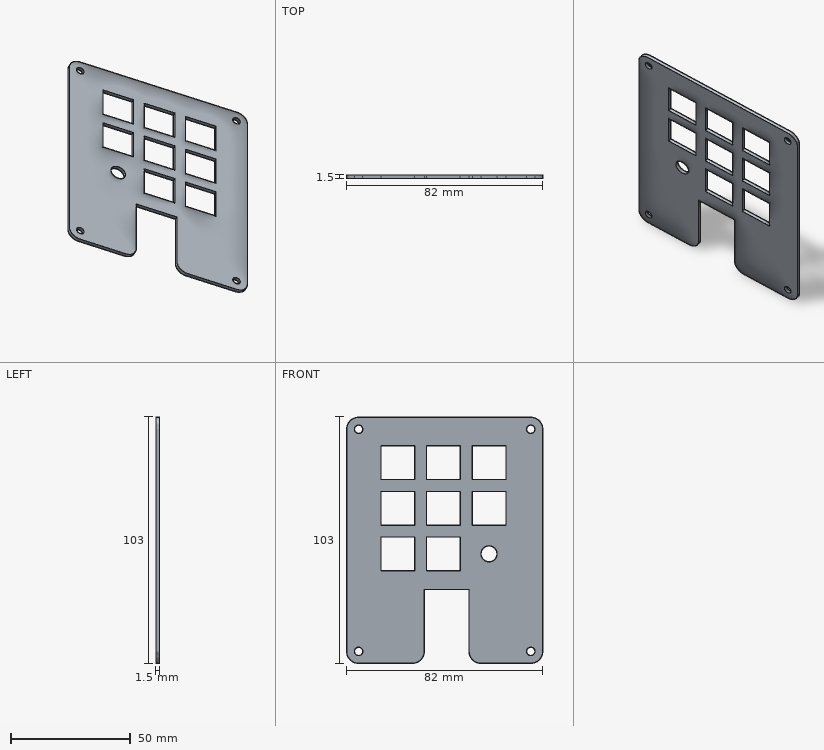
import cadquery as cq

width = 82.0
height = 103.0
thickness = 1.5
corner_radius = 5.0

screw_hole_diameter = 3.4
screw_spacing_x = width - 2 * corner_radius
screw_spacing_z = height - 2 * corner_radius

key_size = 14.0
key_pitch = 19.0
grid_center_x = -0.5
grid_center_z = 13.4
round_opening_diameter = 6.6
round_opening_place = (1, -1)

notch_width = 18.6
notch_center_x = 0.8
notch_depth = 30.9


def grid_point(column, row):
    """Centre of a grid place, counted from the middle key."""
    return (grid_center_x + column * key_pitch, grid_center_z + row * key_pitch)


def plate_with_notch():
    """Plate with the notch, rounded at every corner except the notch's inner ones."""
    plate = cq.Workplane("XZ").rect(width, height).extrude(thickness / 2, both=True)
    notch = (
        cq.Workplane("XZ")
        .center(notch_center_x, (notch_depth - height) / 2)
        .rect(notch_width, notch_depth)
        .extrude(thickness, both=True)
    )
    notched = plate.cut(notch)
    outer_edges = notched.faces("<Z or >Z").edges("|Y")
    return outer_edges.fillet(corner_radius)


def through_cutter(points, outline):
    """Cutter that runs through the plate at each point."""
    return outline(cq.Workplane("XZ").pushPoints(points)).extrude(thickness, both=True)


screw_points = [
    (side_x * screw_spacing_x / 2, side_z * screw_spacing_z / 2)
    for side_x in (-1, 1)
    for side_z in (-1, 1)
]
key_points = [
    grid_point(column, row)
    for column in (-1, 0, 1)
    for row in (-1, 0, 1)
    if (column, row) != round_opening_place
]
round_opening_points = [grid_point(*round_opening_place)]

screw_holes = through_cutter(screw_points, lambda plane: plane.circle(screw_hole_diameter / 2))
key_openings = through_cutter(key_points, lambda plane: plane.rect(key_size, key_size))
round_opening = through_cutter(
    round_opening_points, lambda plane: plane.circle(round_opening_diameter / 2)
)

result = plate_with_notch().cut(screw_holes).cut(key_openings).cut(round_opening)